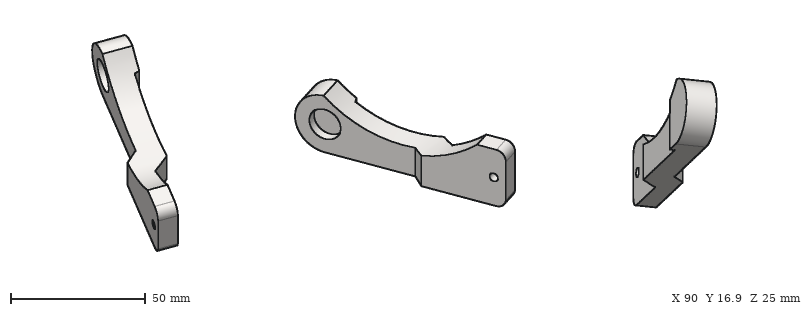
import cadquery as cq

length = 90.0
height = 25.0
boss_radius = height / 2
tip_x = length - boss_radius
corner_radius = 4.0

arm_thickness = 9.87
pad_height = 2.0
tip_front_y = -5.0
tip_back_y = 2.87

front_jog_start_x = 37.5
back_jog_start_x = 44.5
front_jog_end_x = front_jog_start_x - tip_front_y
back_jog_end_x = back_jog_start_x + arm_thickness - tip_back_y

pad_base_x = 7.7
pad_top_x = 7.3

relief_radius = 50.0
relief_x = 32.5

socket_diameter = 13.0
socket_depth = 4.0
pin_hole_diameter = 3.5
pin_hole_x = 72.5


def make_jogged_bar():
    """Plan outline of pad, arm, jog and tip, extruded over the full height."""
    pad_back_y = arm_thickness + pad_height
    plan_points = [
        (-boss_radius, 0),
        (front_jog_start_x, 0),
        (front_jog_end_x, tip_front_y),
        (tip_x, tip_front_y),
        (tip_x, tip_back_y),
        (back_jog_end_x, tip_back_y),
        (back_jog_start_x, arm_thickness),
        (pad_base_x, arm_thickness),
        (pad_top_x, pad_back_y),
        (-boss_radius, pad_back_y),
    ]
    bar = cq.Workplane("XY").polyline(plan_points).close().extrude(height)
    return bar.translate((0, 0, -height / 2))


def through_prism(sketch):
    """Extrude a closed XZ sketch far enough along Y to span the whole part."""
    return sketch.extrude(length, both=True)


def make_side_profile():
    """Round boss end, straight edges and a tip with rounded corners."""
    half_height = height / 2
    outline = (
        cq.Workplane("XZ")
        .moveTo(0, half_height)
        .threePointArc((-boss_radius, 0), (0, -half_height))
        .lineTo(tip_x, -half_height)
        .lineTo(tip_x, half_height)
        .close()
    )
    return through_prism(outline).edges("|Y and >X").fillet(corner_radius)


def make_relief():
    """Large cylinder that hollows the top edge."""
    return through_prism(cq.Workplane("XZ").center(relief_x, relief_radius).circle(relief_radius))


def make_socket():
    """Blind round socket in the front face of the boss."""
    return cq.Workplane("XZ").circle(socket_diameter / 2).extrude(-socket_depth)


def make_pin_hole():
    """Small through hole near the tip."""
    return through_prism(cq.Workplane("XZ").center(pin_hole_x, 0).circle(pin_hole_diameter / 2))


body = make_jogged_bar().intersect(make_side_profile())
result = body.cut(make_relief()).cut(make_socket()).cut(make_pin_hole())